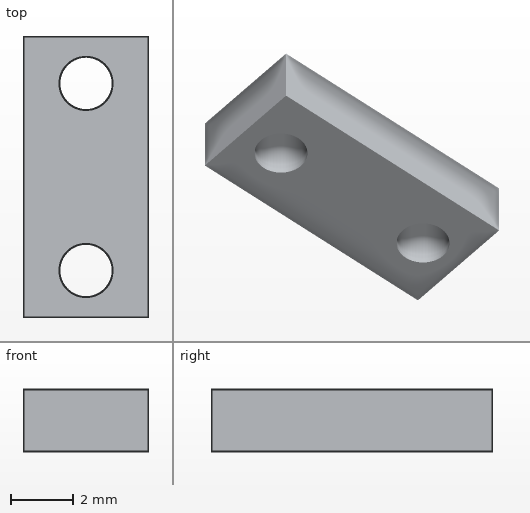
import cadquery as cq

width = 4.0
length = 9.0
thickness = 2.0

hole_diameter = 1.7
hole_spacing = 6.0


def make_block():
    """Plain rectangular block centred on the origin."""
    return cq.Workplane("XY").box(width, length, thickness)


def drill_holes(block):
    """Two through holes on the centreline, symmetric about the middle."""
    hole_centres = [(0, -hole_spacing / 2), (0, hole_spacing / 2)]
    return block.faces(">Z").workplane().pushPoints(hole_centres).hole(hole_diameter)


result = drill_holes(make_block())